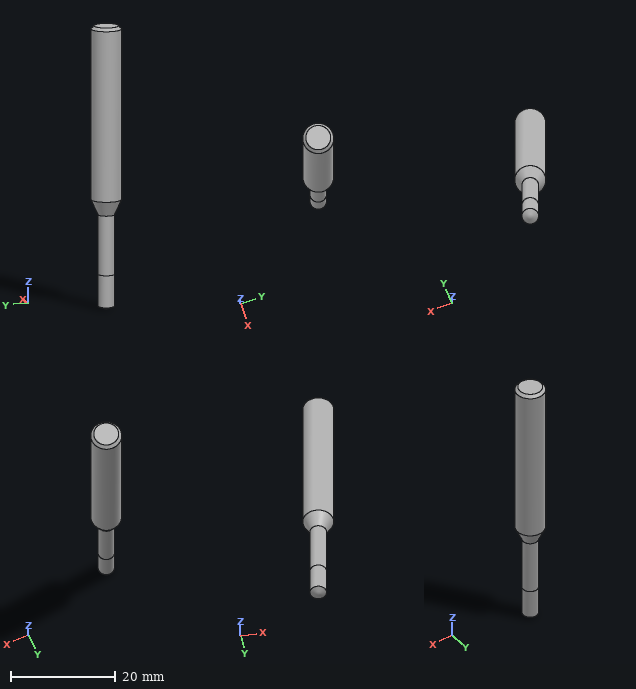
import cadquery as cq

total_length = 55.6
shank_diameter = 6.0
neck_diameter = 3.2
shank_chamfer = 0.6

tip_height = 0.6
joint_height = 6.9
neck_top = 18.55
cone_top = 21.55

shank_radius = shank_diameter / 2
neck_radius = neck_diameter / 2


def revolve_profile(points):
    """Revolve a closed (radius, height) outline about the Z axis."""
    return cq.Workplane("XZ").polyline(points).close().revolve(360, (0, 0), (0, 1))


def make_cutting_head():
    """Cylindrical cutting head with a conical drill point."""
    return revolve_profile([
        (0, 0),
        (neck_radius, tip_height),
        (neck_radius, joint_height),
        (0, joint_height),
    ])


def make_shank():
    """Clamping shank, chamfered on top, tapering down to the neck."""
    return revolve_profile([
        (0, joint_height),
        (neck_radius, joint_height),
        (neck_radius, neck_top),
        (shank_radius, cone_top),
        (shank_radius, total_length - shank_chamfer),
        (shank_radius - shank_chamfer, total_length),
        (0, total_length),
    ])


cutting_head = make_cutting_head()
shank = make_shank()

result = cq.Compound.makeCompound([cutting_head.val(), shank.val()])